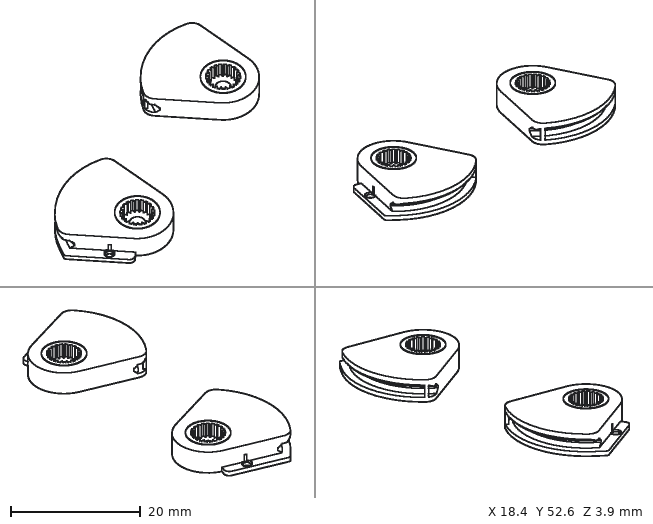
import cadquery as cq
import math

HUB_RADIUS = 5.6
RIM_RADIUS = 12.75
SIDE_ANGLE = 19.5
CORNER_RADIUS = 1.9
SECTOR_HEIGHT = 3.8
TOTAL_LENGTH = 52.65

BOSS_DIAMETER = 7.0
TOTAL_HEIGHT = 3.9

SPLINE_TEETH = 21
SPLINE_ROOT_RADIUS = 2.7
SPLINE_TIP_RADIUS = 2.25
ROOT_SHARE = 0.45
SOCKET_FLOOR = 1.6
SCREW_DIAMETER = 2.5

FLANGE_HEIGHT = 0.8
GROOVE_FLOOR_RADIUS = 10.8
GROOVE_MID_HEIGHT = 1.6
GROOVE_FLOOR_WIDTH = 0.3
GROOVE_TOP = 2.4
LIP_CHAMFER = 0.5

POST_WIDTH = 0.65
POST_DEPTH = 0.6

TAB_WIDTH = 1.7
TAB_OVERHANG = 0.2
TAB_TIP_RADIUS = 0.55
TAB_END_RADIUS = 0.9
TAB_RIM_ANGLE = 44.0

CORD_HOLE_DIAMETER = 1.2
CORD_HOLE_TOP = 2.05
CORD_SINK_DIAMETER = 1.7
CORD_SINK_DEPTH = 0.2
CORD_HOLE_ALONG = 3.8
CORD_NOTCH_WIDTH = 0.5

CUT_MARGIN = 0.55

SIDE_SIN = math.sin(math.radians(SIDE_ANGLE))
SIDE_COS = math.cos(math.radians(SIDE_ANGLE))


def side_point(along, outward):
    """Point measured from the hub tangent point of the +Y side, along it and away from it."""
    reach = HUB_RADIUS + outward
    return (reach * SIDE_SIN - along * SIDE_COS, reach * SIDE_COS + along * SIDE_SIN)


def polar(radius, degrees):
    return (radius * math.cos(math.radians(degrees)), radius * math.sin(math.radians(degrees)))


def mirrored(point):
    return (point[0], -point[1])


def make_sector():
    side_length = math.sqrt(RIM_RADIUS**2 - HUB_RADIUS**2)
    hub_start = side_point(0, 0)
    corner = side_point(side_length, 0)
    sector = (
        cq.Workplane("XY")
        .moveTo(*hub_start)
        .lineTo(*corner)
        .threePointArc((-RIM_RADIUS, 0), mirrored(corner))
        .lineTo(*mirrored(hub_start))
        .threePointArc((HUB_RADIUS, 0), hub_start)
        .close()
        .extrude(SECTOR_HEIGHT)
    )
    return sector.edges("|Z and (<Y or >Y)").fillet(CORNER_RADIUS)


def make_groove():
    """Ring with the groove profile: V at the root, flat above it, chamfer under the lip."""
    floor_bottom = GROOVE_MID_HEIGHT - GROOVE_FLOOR_WIDTH / 2
    floor_top = GROOVE_MID_HEIGHT + GROOVE_FLOOR_WIDTH / 2
    outer = RIM_RADIUS + CUT_MARGIN
    lip_radius = RIM_RADIUS - LIP_CHAMFER
    return (
        cq.Workplane("XZ")
        .polyline([
            (outer, FLANGE_HEIGHT),
            (GROOVE_FLOOR_RADIUS + floor_bottom - FLANGE_HEIGHT, FLANGE_HEIGHT),
            (GROOVE_FLOOR_RADIUS, floor_bottom),
            (GROOVE_FLOOR_RADIUS, floor_top),
            (GROOVE_FLOOR_RADIUS + GROOVE_TOP - floor_top, GROOVE_TOP),
            (lip_radius, GROOVE_TOP),
            (outer, GROOVE_TOP + outer - lip_radius),
        ])
        .close()
        .revolve(360, (0, 0), (0, 1))
    )


def make_post():
    """Post at the rim; its first face lies on the radius where the rounded corner starts."""
    corner_center_reach = HUB_RADIUS - CORNER_RADIUS
    corner_center_distance = RIM_RADIUS - CORNER_RADIUS
    corner_direction = 180 + 90 + SIDE_ANGLE - math.degrees(
        math.acos(corner_center_reach / corner_center_distance)
    )
    return (
        cq.Workplane("XY")
        .box(POST_DEPTH + CUT_MARGIN, POST_WIDTH, SECTOR_HEIGHT, centered=False)
        .translate((RIM_RADIUS - POST_DEPTH, 0, 0))
        .rotate((0, 0, 0), (0, 0, 1), corner_direction)
    )


def make_tab():
    """Strip along the +Y side, joined to the rim by a line tangent to the rim arc."""
    rim_direction = 180 - TAB_RIM_ANGLE
    outward_direction = 90 - SIDE_ANGLE
    outer_reach = HUB_RADIUS + TAB_WIDTH
    turn = math.radians(rim_direction - outward_direction)
    tip_along = (RIM_RADIUS - outer_reach * math.cos(turn)) / math.sin(turn)
    tip = side_point(tip_along, TAB_WIDTH)
    end_corner = side_point(-TAB_OVERHANG, TAB_WIDTH)
    tab = (
        cq.Workplane("XY")
        .moveTo(*side_point(-TAB_OVERHANG, -HUB_RADIUS))
        .lineTo(-RIM_RADIUS, 0)
        .threePointArc(polar(RIM_RADIUS, 180 - TAB_RIM_ANGLE / 2), polar(RIM_RADIUS, rim_direction))
        .lineTo(*tip)
        .lineTo(*end_corner)
        .close()
        .extrude(FLANGE_HEIGHT)
    )
    tip_edge = cq.selectors.NearestToPointSelector((*tip, FLANGE_HEIGHT / 2))
    end_edge = cq.selectors.NearestToPointSelector((*end_corner, FLANGE_HEIGHT / 2))
    return tab.edges(tip_edge).fillet(TAB_TIP_RADIUS).edges(end_edge).fillet(TAB_END_RADIUS)


def make_cord_hole():
    """Hole through the tab that also notches the sector side, countersunk at the tab top."""
    hole_outward = math.sqrt((CORD_HOLE_DIAMETER / 2)**2 - (CORD_NOTCH_WIDTH / 2)**2)
    center = side_point(CORD_HOLE_ALONG, hole_outward)
    hole = cq.Workplane("XY").center(*center).circle(CORD_HOLE_DIAMETER / 2).extrude(CORD_HOLE_TOP)
    sink = (
        cq.Workplane("XY", origin=(0, 0, FLANGE_HEIGHT - CORD_SINK_DEPTH))
        .center(*center)
        .circle(CORD_HOLE_DIAMETER / 2)
        .workplane(offset=CORD_SINK_DEPTH)
        .circle(CORD_SINK_DIAMETER / 2)
        .loft(ruled=True)
    )
    return hole.union(sink)


def make_spline_socket():
    """Toothed socket open at the top, with one tooth tip pointing to -Y."""
    pitch = 360 / SPLINE_TEETH
    outline = []
    for tooth in range(SPLINE_TEETH):
        tip_direction = -90 + tooth * pitch
        root_direction = tip_direction + pitch / 2
        outline += [
            polar(SPLINE_TIP_RADIUS, tip_direction),
            polar(SPLINE_ROOT_RADIUS, root_direction - pitch * ROOT_SHARE / 2),
            polar(SPLINE_ROOT_RADIUS, root_direction + pitch * ROOT_SHARE / 2),
        ]
    return (
        cq.Workplane("XY", origin=(0, 0, SOCKET_FLOOR))
        .polyline(outline)
        .close()
        .extrude(TOTAL_HEIGHT - SOCKET_FLOOR)
    )


def make_pulley():
    """One sector pulley around the Z axis, with its tab on the +Y side."""
    boss = cq.Workplane("XY").circle(BOSS_DIAMETER / 2).extrude(TOTAL_HEIGHT)
    screw_hole = cq.Workplane("XY").circle(SCREW_DIAMETER / 2).extrude(TOTAL_HEIGHT)
    open_groove = make_groove().cut(make_post())
    return (
        make_sector()
        .cut(open_groove)
        .union(make_tab())
        .union(boss)
        .cut(make_cord_hole())
        .cut(make_spline_socket())
        .cut(screw_hole)
    )


pulley = make_pulley()
tab_reach = pulley.val().BoundingBox().ymax
placed_pulley = pulley.translate((0, TOTAL_LENGTH / 2 - tab_reach, 0))
pulleys = []
for placement in (placed_pulley, placed_pulley.mirror("XZ")):
    pulleys.append(placement.solids().val())

result = cq.Compound.makeCompound(pulleys)